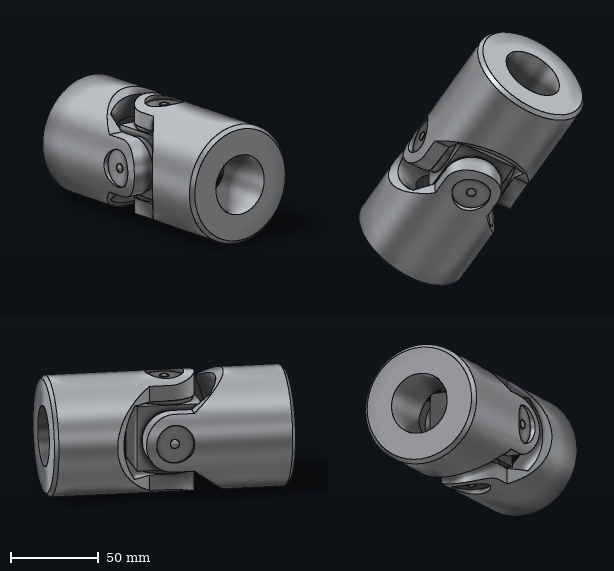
import cadquery as cq
import math


yoke_length = 70.0
yoke_diameter = 70.0
yoke_radius = yoke_diameter / 2
end_chamfer = 2.2
bore_diameter = 35.0
lug_radius = 17.0
lug_straight = 11.7
taper_end = 33.7
arm_gap = 43.0
fork_floor_radius = 37.6
fork_floor_angle = 15.0

pin_diameter = 22.0
pin_reach = 32.0
shoulder_diameter = 32.0
block_length = 38.0
block_width = 34.0
block_height = 38.0
nub_diameter = 5.28
nub_rim_height = 0.4
nub_dome_height = 1.0


def make_yoke():
    """Yoke with its bored end toward -X and its two arms on the +Y and -Y sides."""
    blank = (
        cq.Workplane("YZ")
        .workplane(offset=-yoke_length)
        .circle(yoke_radius)
        .extrude(yoke_length + lug_radius)
        .faces("<X")
        .chamfer(end_chamfer)
    )

    outline = (
        cq.Workplane("XZ")
        .moveTo(-yoke_length, -yoke_radius)
        .lineTo(-taper_end, -yoke_radius)
        .lineTo(-lug_straight, -lug_radius)
        .lineTo(0, -lug_radius)
        .threePointArc((lug_radius, 0), (0, lug_radius))
        .lineTo(-lug_straight, lug_radius)
        .lineTo(-taper_end, yoke_radius)
        .lineTo(-yoke_length, yoke_radius)
        .close()
        .extrude(yoke_radius, both=True)
    )

    half_height = yoke_radius + lug_radius
    small_radius = fork_floor_radius - half_height * math.tan(math.radians(fork_floor_angle))
    double_cone = (
        cq.Workplane("XZ")
        .moveTo(0, -half_height)
        .lineTo(small_radius, -half_height)
        .lineTo(fork_floor_radius, 0)
        .lineTo(small_radius, half_height)
        .lineTo(0, half_height)
        .close()
        .revolve(360, (0, 0, 0), (0, 1, 0))
    )
    arm_clearance = cq.Workplane("XY").box(2 * yoke_length, arm_gap, 2 * yoke_length)
    fork_opening = double_cone.intersect(arm_clearance)

    bore = (
        cq.Workplane("YZ")
        .workplane(offset=-yoke_length)
        .circle(bore_diameter / 2)
        .extrude(yoke_length)
        .rotate((0, 0, 0), (1, 0, 0), 90)
    )
    pin_holes = cq.Workplane("XZ").circle(pin_diameter / 2).extrude(yoke_radius, both=True)
    return blank.intersect(outline).cut(fork_opening).cut(bore).cut(pin_holes)


def make_trunnion():
    """Shoulder, pin and domed nub from the joint centre toward +Z."""
    shoulder = cq.Workplane("XY").circle(shoulder_diameter / 2).extrude(arm_gap / 2)
    pin = cq.Workplane("XY").circle(pin_diameter / 2).extrude(pin_reach)
    nub_radius = nub_diameter / 2
    nub_rim = pin_reach + nub_rim_height
    dome_radius = (nub_radius**2 + nub_dome_height**2) / (2 * nub_dome_height)
    nub = (
        cq.Workplane("XZ")
        .lineTo(nub_radius, 0)
        .lineTo(nub_radius, nub_rim)
        .radiusArc((0, nub_rim + nub_dome_height), -dome_radius)
        .close()
        .revolve(360, (0, 0, 0), (0, 1, 0))
    )
    return shoulder.union(pin).union(nub)


def make_cross():
    """Central block with four trunnions, two along Z and two along Y."""
    cross = cq.Workplane("XY").box(block_length, block_width, block_height)
    for quarter_turn in range(4):
        cross = cross.union(make_trunnion().rotate((0, 0, 0), (1, 0, 0), 90 * quarter_turn))
    return cross


left_yoke = make_yoke()
right_yoke = make_yoke().rotate((0, 0, 0), (0, 0, 1), 180).rotate((0, 0, 0), (1, 0, 0), 90)
cross = make_cross()

result = cq.Compound.makeCompound([left_yoke.val(), right_yoke.val(), cross.val()])